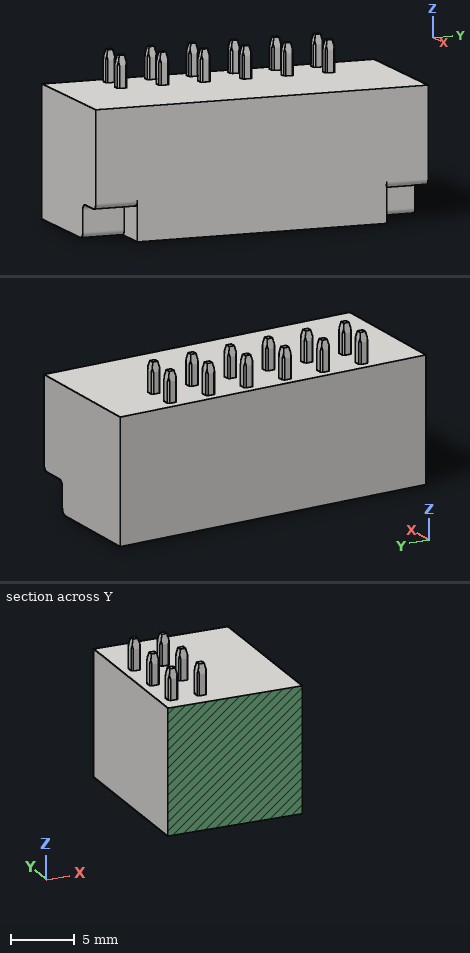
import cadquery as cq

housing_width = 11.6
housing_length = 28.0
housing_height = 10.8

step_size = 2.8
step_radius = 0.5
step_depth = 3.5

pin_rows = 2
pins_per_row = 6
row_pitch = 2.5
pin_pitch = 3.5
first_row_x = 1.12
pin_height = 2.6
pin_side = 0.8
pin_edge_chamfer = 0.15
tip_side = 0.45
tip_height = 0.8


def make_housing():
    """Full-section middle block with a stepped plate at each end."""
    middle_length = housing_length - 2 * step_depth
    middle = cq.Workplane("XY").box(
        housing_width, middle_length, housing_height, centered=(False, True, False)
    )
    end_plate = make_end_plate()
    return middle.union(end_plate).union(end_plate.mirror("XZ"))


def make_end_plate():
    """End section at -Y, whose lower +X corner steps inward with rounded turns."""
    step_x = housing_width - step_size
    profile = (
        cq.Workplane("XZ", origin=(0, -housing_length / 2 + step_depth, 0))
        .lineTo(step_x - step_radius, 0)
        .radiusArc((step_x, step_radius), -step_radius)
        .lineTo(step_x, step_size - step_radius)
        .radiusArc((step_x + step_radius, step_size), step_radius)
        .lineTo(housing_width - step_radius, step_size)
        .radiusArc((housing_width, step_size + step_radius), -step_radius)
        .lineTo(housing_width, housing_height)
        .lineTo(0, housing_height)
        .close()
    )
    return profile.extrude(step_depth)


def make_pin():
    """Square pin with bevelled long edges and a tapered, flat-ended tip."""
    shank_height = pin_height - tip_height
    blank = (
        cq.Workplane("XY")
        .box(pin_side, pin_side, pin_height, centered=(True, True, False))
        .edges("|Z")
        .chamfer(pin_edge_chamfer)
    )
    shank = cq.Workplane("XY").box(pin_side, pin_side, shank_height, centered=(True, True, False))
    tip = (
        cq.Workplane("XY", origin=(0, 0, shank_height))
        .rect(pin_side, pin_side)
        .workplane(offset=tip_height)
        .rect(tip_side, tip_side)
        .loft(ruled=True)
    )
    return blank.intersect(shank.union(tip))


result = make_housing()
pin = make_pin()
for row in range(pin_rows):
    for place in range(pins_per_row):
        pin_x = first_row_x + row * row_pitch
        pin_y = (place - (pins_per_row - 1) / 2) * pin_pitch
        result = result.union(pin.translate((pin_x, pin_y, housing_height)))